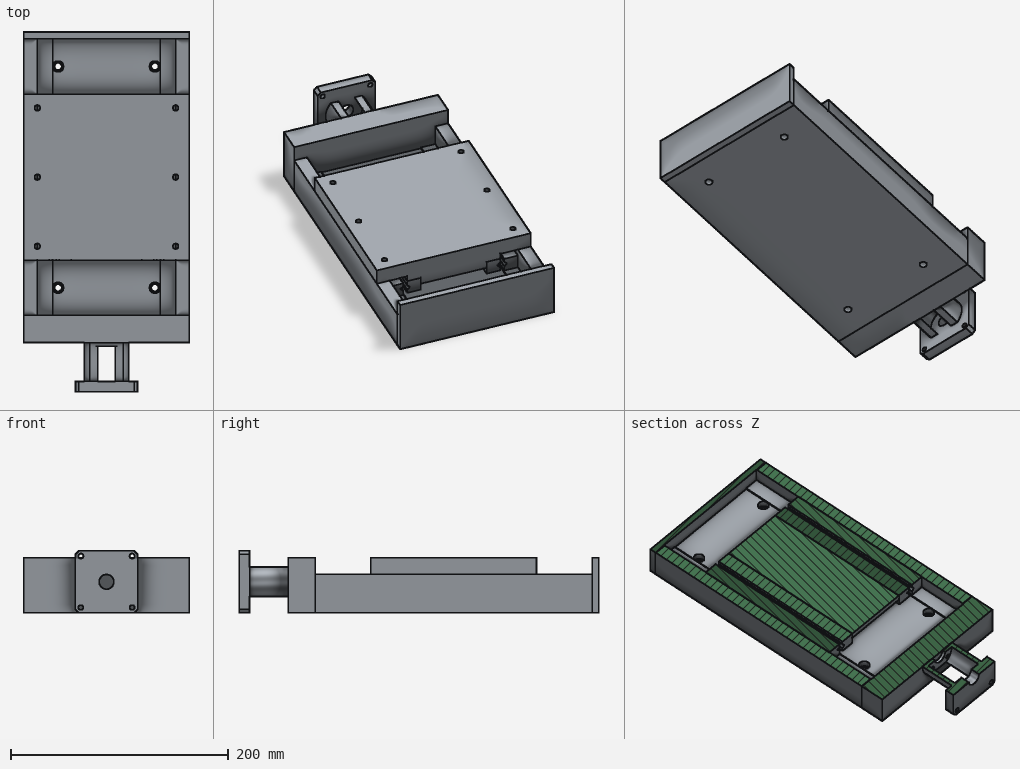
import cadquery as cq


stage_width = 152.4
base_length = 254.0
wall_height = 35.56
wall_thickness = 12.7
ledge_width = 14.2
ledge_height = 15.24
floor_height = 14.24
mount_hole_x = 44.45
mount_hole_end_distance = 25.4
mount_hole_dia = 6.6
mount_counterbore_dia = 10.0
mount_counterbore_depth = 6.35

end_plate_height = 50.8
front_plate_thickness = 25.0
rear_plate_thickness = 6.35

rail_width = 13.5
rail_height = 13.4
rail_gap = 4.0
rail_offset = 1.4
groove_depth = 2.5

carriage_length = 152.4
carriage_tap_spacing = 63.5
carriage_tap_dia = 5.1
keel_bottom = 23.3

mount_length = 45.1
flange_size = 57.15
flange_thickness = 9.6
flange_chamfer = 3.175
flange_hole_spacing = 47.14
flange_hole_dia = 4.5
shaft_hole_dia = 13.5
barrel_dia = 41.3
barrel_height = 27.4
barrel_bore_dia = 31.75
barrel_wall = 3.4
barrel_screw_x = 10.5
barrel_screw_z = 8.0
barrel_screw_dia = 4.0

channel_half_width = stage_width / 2 - wall_thickness
floor_half_width = channel_half_width - ledge_width
carriage_center_y = base_length / 2
outer_rail_center_x = channel_half_width - rail_width / 2
inner_rail_center_x = outer_rail_center_x - rail_width - rail_gap
outer_rail_bottom = ledge_height
inner_rail_bottom = outer_rail_bottom + rail_offset
inner_rail_top = inner_rail_bottom + rail_height
groove_height = (outer_rail_bottom + inner_rail_top) / 2
keel_half_width = inner_rail_center_x + rail_width / 2
keel_foot_half_width = inner_rail_center_x - rail_width / 2
mount_front_y = -front_plate_thickness - mount_length
flange_back_y = mount_front_y + flange_thickness
mount_axis_z = flange_size / 2


def box_between(half_width, y_start, y_end, z_start, z_end):
    """A block centred on X = 0."""
    return cq.Workplane("XY").box(
        2 * half_width, y_end - y_start, z_end - z_start, centered=(True, False, False)
    ).translate((0, y_start, z_start))


def cylinder_along_y(diameter, y_start, y_end, points=((0, 0),)):
    """Cylinders along Y, placed at X, Z points measured from the motor mount axis."""
    return (
        cq.Workplane("XZ", origin=(0, y_start, mount_axis_z))
        .pushPoints(points)
        .circle(diameter / 2)
        .extrude(-(y_end - y_start))
    )


def corner_points(half_x, half_z):
    return [(x, z) for x in (-half_x, half_x) for z in (-half_z, half_z)]


def make_base():
    """Channel with a ledge under each rail pair and four counterbored mounting holes."""
    base = box_between(stage_width / 2, 0, base_length, 0, wall_height)
    base = base.cut(box_between(channel_half_width, 0, base_length, ledge_height, wall_height))
    base = base.cut(box_between(floor_half_width, 0, base_length, floor_height, ledge_height))
    hole_points = [
        (x, y)
        for x in (-mount_hole_x, mount_hole_x)
        for y in (mount_hole_end_distance, base_length - mount_hole_end_distance)
    ]
    holes = cq.Workplane("XY").pushPoints(hole_points)
    through_holes = holes.circle(mount_hole_dia / 2).extrude(floor_height)
    counterbores = holes.circle(mount_counterbore_dia / 2).extrude(mount_counterbore_depth)
    counterbores = counterbores.translate((0, 0, floor_height - mount_counterbore_depth))
    return base.cut(through_holes).cut(counterbores)


def make_end_plate(y_start, y_end):
    return box_between(stage_width / 2, y_start, y_end, 0, end_plate_height)


def make_carriage():
    """Top plate with a keel whose lower corners are rebated for the inner rails."""
    y_start = carriage_center_y - carriage_length / 2
    y_end = y_start + carriage_length
    carriage = box_between(stage_width / 2, y_start, y_end, wall_height, end_plate_height)
    carriage = carriage.union(box_between(keel_half_width, y_start, y_end, inner_rail_top, wall_height))
    carriage = carriage.union(box_between(keel_foot_half_width, y_start, y_end, keel_bottom, inner_rail_top))
    tap_holes = (
        cq.Workplane("XY", origin=(0, carriage_center_y, wall_height))
        .rarray(2 * carriage_tap_spacing, carriage_tap_spacing, 2, 3)
        .circle(carriage_tap_dia / 2)
        .extrude(end_plate_height - wall_height)
    )
    return carriage.cut(tap_holes)


def make_rail(center_x, bottom, groove_side):
    """Rail with a 90 degree V groove along the face on groove_side (+1 for +X, -1 for -X)."""
    face_x = center_x + groove_side * rail_width / 2
    rail = cq.Workplane("XY").box(
        rail_width, carriage_length, rail_height, centered=(True, True, False)
    ).translate((center_x, carriage_center_y, bottom))
    groove = (
        cq.Workplane("XZ", origin=(0, carriage_center_y, 0))
        .moveTo(face_x, groove_height - groove_depth)
        .lineTo(face_x, groove_height + groove_depth)
        .lineTo(face_x - groove_side * groove_depth, groove_height)
        .close()
        .extrude(carriage_length / 2, both=True)
    )
    return rail.cut(groove)


def make_motor_mount():
    """Square motor flange on a bored barrel; the bore breaks out through the barrel's two flats."""
    flange = box_between(flange_size / 2, mount_front_y, flange_back_y, 0, flange_size)
    flange = flange.edges("|Y").chamfer(flange_chamfer)
    bore_end_y = -front_plate_thickness - barrel_wall
    barrel = cylinder_along_y(barrel_dia, flange_back_y, -front_plate_thickness)
    barrel = barrel.intersect(
        box_between(
            barrel_dia / 2,
            flange_back_y,
            -front_plate_thickness,
            mount_axis_z - barrel_height / 2,
            mount_axis_z + barrel_height / 2,
        )
    )
    barrel = barrel.cut(cylinder_along_y(barrel_bore_dia, flange_back_y, bore_end_y))
    barrel_screw_points = corner_points(barrel_screw_x, barrel_screw_z)
    barrel = barrel.cut(
        cylinder_along_y(barrel_screw_dia, bore_end_y, -front_plate_thickness, barrel_screw_points)
    )
    mount = flange.union(barrel)
    mount = mount.cut(cylinder_along_y(shaft_hole_dia, mount_front_y, -front_plate_thickness))
    flange_hole_points = corner_points(flange_hole_spacing / 2, flange_hole_spacing / 2)
    return mount.cut(cylinder_along_y(flange_hole_dia, mount_front_y, flange_back_y, flange_hole_points))


base = make_base()
front_plate = make_end_plate(-front_plate_thickness, 0)
rear_plate = make_end_plate(base_length, base_length + rear_plate_thickness)
carriage = make_carriage()
motor_mount = make_motor_mount()

rails = []
for side in (-1, 1):
    rails.append(make_rail(side * outer_rail_center_x, outer_rail_bottom, -side))
    rails.append(make_rail(side * inner_rail_center_x, inner_rail_bottom, side))

result = cq.Compound.makeCompound(
    [
        base.val(),
        front_plate.val(),
        rear_plate.val(),
        carriage.val(),
        motor_mount.val(),
        *[rail.val() for rail in rails],
    ]
)